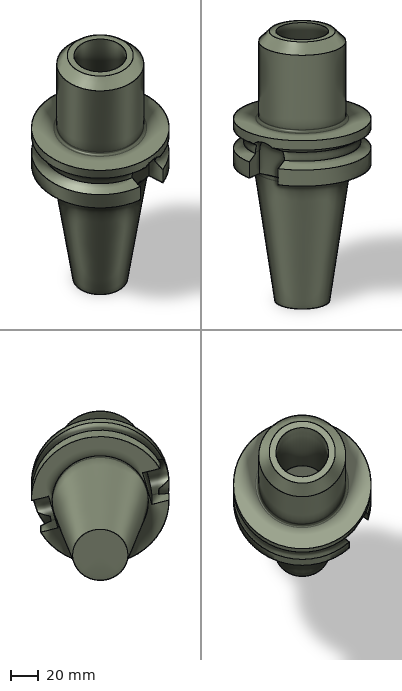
import cadquery as cq

total_height = 206.8
taper_height = 101.7
collar_height = 3.0
flange_height = 35.0
flange_bottom = taper_height + collar_height
flange_top = flange_bottom + flange_height

taper_small_radius = 20.0
taper_large_radius = 35.0

flange_radius = 50.0
groove_floor_radius = 42.5
groove_center_depth = 14.9
groove_floor_width = 6.8
groove_mouth_width = 15.3
groove_center_z = flange_top - groove_center_depth

nose_radius = 31.6
nose_chamfer = 7.7
nose_root_fillet = 2.0
bore_diameter = 38.0
bore_depth = 80.0

slot_width = 25.6
slot_top_depth = 4.3
slot_floor_distance = 35.4


def make_body():
    """Revolve the taper, collar, flange and nose about Z."""
    fillet_start = nose_radius + nose_root_fillet
    fillet_end_z = flange_top + nose_root_fillet
    profile = (
        cq.Workplane("XZ")
        .lineTo(taper_small_radius, 0)
        .lineTo(taper_large_radius, taper_height)
        .lineTo(taper_large_radius, flange_bottom)
        .lineTo(flange_radius, flange_bottom)
        .lineTo(flange_radius, groove_center_z - groove_mouth_width / 2)
        .lineTo(groove_floor_radius, groove_center_z - groove_floor_width / 2)
        .lineTo(groove_floor_radius, groove_center_z + groove_floor_width / 2)
        .lineTo(flange_radius, groove_center_z + groove_mouth_width / 2)
        .lineTo(flange_radius, flange_top)
        .lineTo(fillet_start, flange_top)
        .radiusArc((nose_radius, fillet_end_z), nose_root_fillet)
        .lineTo(nose_radius, total_height - nose_chamfer)
        .lineTo(nose_radius - nose_chamfer, total_height)
        .lineTo(0, total_height)
        .close()
    )
    return profile.revolve(360, (0, 0, 0), (0, 1, 0))


def make_bore():
    """Blind bore from the nose face."""
    return (
        cq.Workplane("XY", origin=(0, 0, total_height))
        .circle(bore_diameter / 2)
        .extrude(-bore_depth)
    )


def make_drive_slot():
    """Round-topped slot cutter on the +X side, open at the flange bottom."""
    half_width = slot_width / 2
    arch_top = flange_top - slot_top_depth
    arch_start = arch_top - half_width
    return (
        cq.Workplane("YZ", origin=(slot_floor_distance, 0, 0))
        .moveTo(-half_width, flange_bottom)
        .lineTo(half_width, flange_bottom)
        .lineTo(half_width, arch_start)
        .threePointArc((0, arch_top), (-half_width, arch_start))
        .close()
        .extrude(flange_radius)
    )


result = make_body().cut(make_bore())
for angle in (0, 180):
    result = result.cut(make_drive_slot().rotate((0, 0, 0), (0, 0, 1), angle))